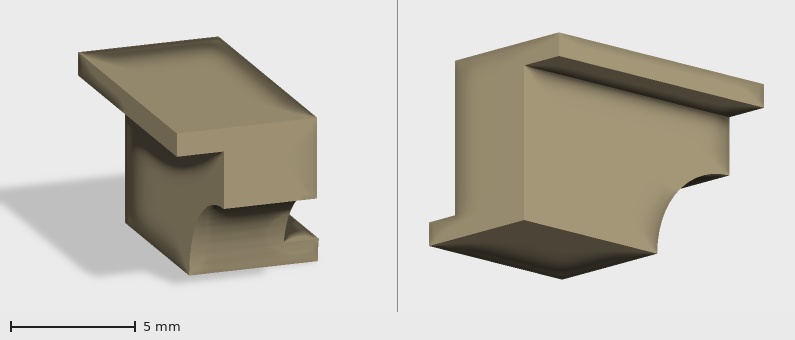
import cadquery as cq

length = 11.4
depth = 7.5
height = 7.4

flange_thickness = 0.98
top_overhang = 2.01
foot_overhang = 1.5
notch_radius = 4.0

web_back = depth - foot_overhang


def z_profile_bar():
    """Z-shaped section extruded along X."""
    outline = [
        (0, height),
        (web_back, height),
        (web_back, flange_thickness),
        (depth, flange_thickness),
        (depth, 0),
        (top_overhang, 0),
        (top_overhang, height - flange_thickness),
        (0, height - flange_thickness),
    ]
    return cq.Workplane("YZ").polyline(outline).close().extrude(length)


def corner_notch():
    """Cylinder along Y, centred on the lower +X edge, through the full depth."""
    return (
        cq.Workplane("XZ")
        .center(length, 0)
        .circle(notch_radius)
        .extrude(-depth)
    )


result = z_profile_bar().cut(corner_notch())